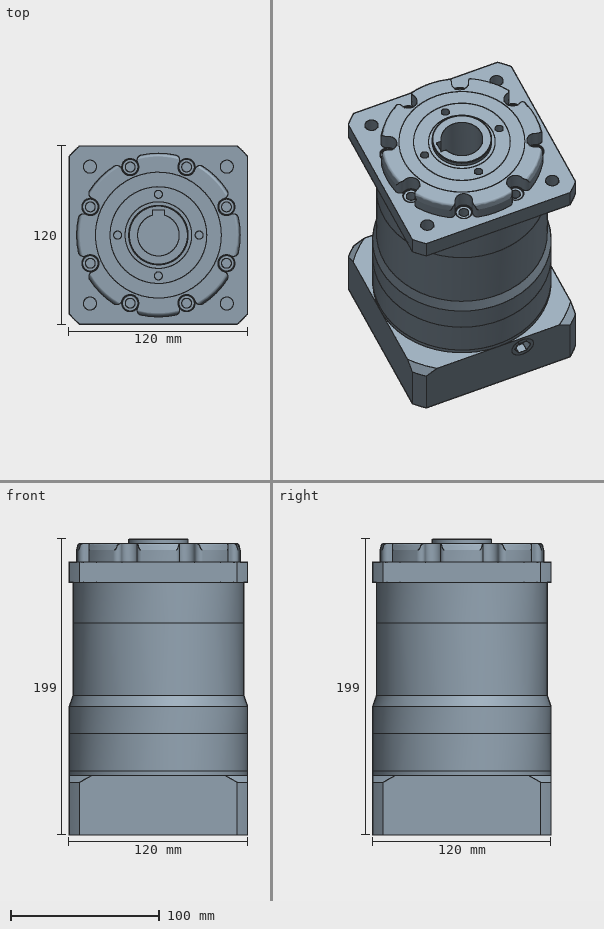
import cadquery as cq
import math


SQUARE = 120.0
CORNER_RADIUS = 80.0
DRUM_RADIUS = SQUARE / 2
BARREL_RADIUS = 57.4

PLATE_TOP = 40.0
ADAPTER_TOP = 43.0
COVER_TOP = 68.5
CONE_BOTTOM = 86.5
CONE_TOP = 94.0
RING_GEAR_TOP = 142.7
FLANGE_BOTTOM = 169.8
FLANGE_TOP = 183.5
PILOT_TOP = 196.0
HUB_TOP = 199.0

CORNER_CONE_RADIUS = 75.0
CORNER_CONE_HEIGHT = 4.5

PLUG_RADIUS = 8.0
PLUG_LENGTH = 20.0
PLUG_Y = -18.0
PLUG_Z = 30.0
HEX_ACROSS_FLATS = 10.0
HEX_DEPTH = 6.0

PILOT_RADIUS = 55.0
PILOT_TAPER_START = 191.4
PILOT_TAPER_END = 193.8
PILOT_TAPER_RADIUS = 54.4
PILOT_TOP_RADIUS = 52.6
LOBE_CORNER_RADIUS = 3.5
SCALLOP_COUNT = 8
SCALLOP_ANGLE = 360 / SCALLOP_COUNT
SCALLOP_RADIUS = 5.8
BOLT_PITCH_RADIUS = 49.5

COUNTERBORE_RADIUS = 5.2
COUNTERBORE_DEPTH = 0.8
COUNTERBORE_CHAMFER = 0.5
BOLT_HOLE_RADIUS = 3.3
BOLT_HOLE_DEPTH = 10.0

MOUNT_COUNT = 4
MOUNT_HOLE_RADIUS = 4.4
MOUNT_PITCH_RADIUS = 65.0
TAP_COUNT = 4
TAP_HOLE_RADIUS = 2.7
TAP_PITCH_RADIUS = 27.4
TAP_HOLE_DEPTH = 10.0

FACE_STEP = 0.2
SEAL_OUTER_RADIUS = 42.3
SEAL_INNER_RADIUS = 32.5
HUB_RELIEF_RADIUS = 22.4

HUB_RADIUS = 20.0
HUB_CHAMFER = 0.5
BORE_RADIUS = 14.0
BORE_DEPTH = 50.0
KEY_WIDTH = 8.0
KEY_REACH = 17.0


def cylinder(radius, bottom, top):
    return cq.Workplane("XY").workplane(offset=bottom).circle(radius).extrude(top - bottom)


def revolve_profile(profile):
    return profile.close().revolve(360, (0, 0), (0, 1))


def square_plate(bottom, top):
    """Square plate whose four corners are turned off at CORNER_RADIUS."""
    plate = cq.Workplane("XY").workplane(offset=bottom).rect(SQUARE, SQUARE).extrude(top - bottom)
    return plate.intersect(cylinder(CORNER_RADIUS, bottom, top))


def hole_ring(count, pitch_radius, start_angle, radius, bottom, top):
    """Cylinders for drilling a ring of equal holes."""
    return (cq.Workplane("XY").workplane(offset=bottom)
            .polarArray(pitch_radius, start_angle, 360, count)
            .circle(radius).extrude(top - bottom))


def plug_face():
    return cq.Workplane("YZ").workplane(offset=-SQUARE / 2).center(PLUG_Y, PLUG_Z)


def plug_blank():
    return plug_face().circle(PLUG_RADIUS).extrude(PLUG_LENGTH)


def make_plug():
    across_corners = HEX_ACROSS_FLATS / math.cos(math.pi / 6)
    socket = plug_face().polygon(6, across_corners).extrude(HEX_DEPTH)
    return plug_blank().cut(socket)


def make_adapter():
    corner_relief = revolve_profile(
        cq.Workplane("XZ")
        .lineTo(CORNER_RADIUS, 0)
        .lineTo(CORNER_RADIUS, PLATE_TOP - CORNER_CONE_HEIGHT)
        .lineTo(CORNER_CONE_RADIUS, PLATE_TOP)
        .lineTo(0, PLATE_TOP))
    plate = square_plate(0, PLATE_TOP).intersect(corner_relief)
    collar = cylinder(DRUM_RADIUS, PLATE_TOP, ADAPTER_TOP)
    return plate.union(collar).cut(plug_blank())


def make_cover():
    return cylinder(DRUM_RADIUS, ADAPTER_TOP, COVER_TOP)


def make_ring_gear():
    return revolve_profile(
        cq.Workplane("XZ").moveTo(0, COVER_TOP)
        .lineTo(DRUM_RADIUS, COVER_TOP)
        .lineTo(DRUM_RADIUS, CONE_BOTTOM)
        .lineTo(BARREL_RADIUS, CONE_TOP)
        .lineTo(BARREL_RADIUS, RING_GEAR_TOP)
        .lineTo(0, RING_GEAR_TOP))


def scallop(angle):
    """Round-ended slot that runs outward from the bolt circle."""
    slot_run = PILOT_RADIUS
    return (cq.Workplane("XY").workplane(offset=FLANGE_TOP)
            .center(BOLT_PITCH_RADIUS + slot_run / 2, 0)
            .slot2D(slot_run + 2 * SCALLOP_RADIUS, 2 * SCALLOP_RADIUS)
            .extrude(PILOT_TOP - FLANGE_TOP)
            .rotate((0, 0, 0), (0, 0, 1), angle))


def make_lobed_disc():
    disc = cylinder(PILOT_RADIUS, FLANGE_TOP, PILOT_TOP)
    for i in range(SCALLOP_COUNT):
        disc = disc.cut(scallop((i + 0.5) * SCALLOP_ANGLE))
    rim_limit = (BOLT_PITCH_RADIUS + PILOT_RADIUS) / 2
    mouths = [edge for edge in disc.edges("|Z").vals()
              if math.hypot(edge.Center().x, edge.Center().y) > rim_limit]
    mouths = [edge for edge in mouths if abs(edge.Center().y) > SCALLOP_RADIUS]
    return disc.newObject(mouths).fillet(LOBE_CORNER_RADIUS)


def make_pilot():
    rim_profile = revolve_profile(
        cq.Workplane("XZ").moveTo(0, FLANGE_TOP)
        .lineTo(PILOT_RADIUS, FLANGE_TOP)
        .lineTo(PILOT_RADIUS, PILOT_TAPER_START)
        .lineTo(PILOT_TAPER_RADIUS, PILOT_TAPER_END)
        .radiusArc((PILOT_TOP_RADIUS, PILOT_TOP), -(PILOT_TOP - PILOT_TAPER_END))
        .lineTo(0, PILOT_TOP))
    pilot = make_lobed_disc().intersect(rim_profile)
    step_floor = PILOT_TOP - FACE_STEP
    seal_step = (cylinder(SEAL_OUTER_RADIUS, step_floor, PILOT_TOP)
                 .cut(cylinder(SEAL_INNER_RADIUS, step_floor, PILOT_TOP)))
    hub_relief = cylinder(HUB_RELIEF_RADIUS, step_floor, PILOT_TOP)
    return pilot.cut(seal_step).cut(hub_relief)


def counterbored_bolt_holes():
    start_angle = SCALLOP_ANGLE / 2
    floor = FLANGE_TOP - COUNTERBORE_DEPTH
    bores = hole_ring(SCALLOP_COUNT, BOLT_PITCH_RADIUS, start_angle,
                      BOLT_HOLE_RADIUS, FLANGE_TOP - BOLT_HOLE_DEPTH, floor)
    recesses = hole_ring(SCALLOP_COUNT, BOLT_PITCH_RADIUS, start_angle,
                         COUNTERBORE_RADIUS, floor, FLANGE_TOP)
    countersinks = (cq.Workplane("XY").workplane(offset=FLANGE_TOP)
                    .polarArray(BOLT_PITCH_RADIUS, start_angle, 360, SCALLOP_COUNT)
                    .circle(COUNTERBORE_RADIUS + COUNTERBORE_CHAMFER)
                    .extrude(-COUNTERBORE_CHAMFER, taper=45))
    return bores.union(recesses).union(countersinks)


def make_hub():
    hub = cylinder(HUB_RADIUS, PILOT_TOP - FACE_STEP, HUB_TOP)
    return hub.faces(">Z").edges().chamfer(HUB_CHAMFER)


def keyed_bore():
    bottom = HUB_TOP - BORE_DEPTH
    keyway = (cq.Workplane("XY").workplane(offset=bottom)
              .center(0, KEY_REACH / 2).rect(KEY_WIDTH, KEY_REACH).extrude(BORE_DEPTH))
    return cylinder(BORE_RADIUS, bottom, HUB_TOP).union(keyway)


def make_output_housing():
    barrel = cylinder(BARREL_RADIUS, RING_GEAR_TOP, FLANGE_BOTTOM)
    flange = square_plate(FLANGE_BOTTOM, FLANGE_TOP)
    mount_holes = hole_ring(MOUNT_COUNT, MOUNT_PITCH_RADIUS, 180 / MOUNT_COUNT,
                            MOUNT_HOLE_RADIUS, FLANGE_BOTTOM, FLANGE_TOP)
    tap_holes = hole_ring(TAP_COUNT, TAP_PITCH_RADIUS, 0,
                          TAP_HOLE_RADIUS, PILOT_TOP - TAP_HOLE_DEPTH, PILOT_TOP)
    body = barrel.union(flange).union(make_pilot()).union(make_hub())
    return body.cut(counterbored_bolt_holes()).cut(mount_holes).cut(tap_holes).cut(keyed_bore())


adapter = make_adapter()
plug = make_plug()
cover = make_cover()
ring_gear = make_ring_gear()
output_housing = make_output_housing()

result = cq.Compound.makeCompound([
    adapter.val(),
    plug.val(),
    cover.val(),
    ring_gear.val(),
    output_housing.val(),
])